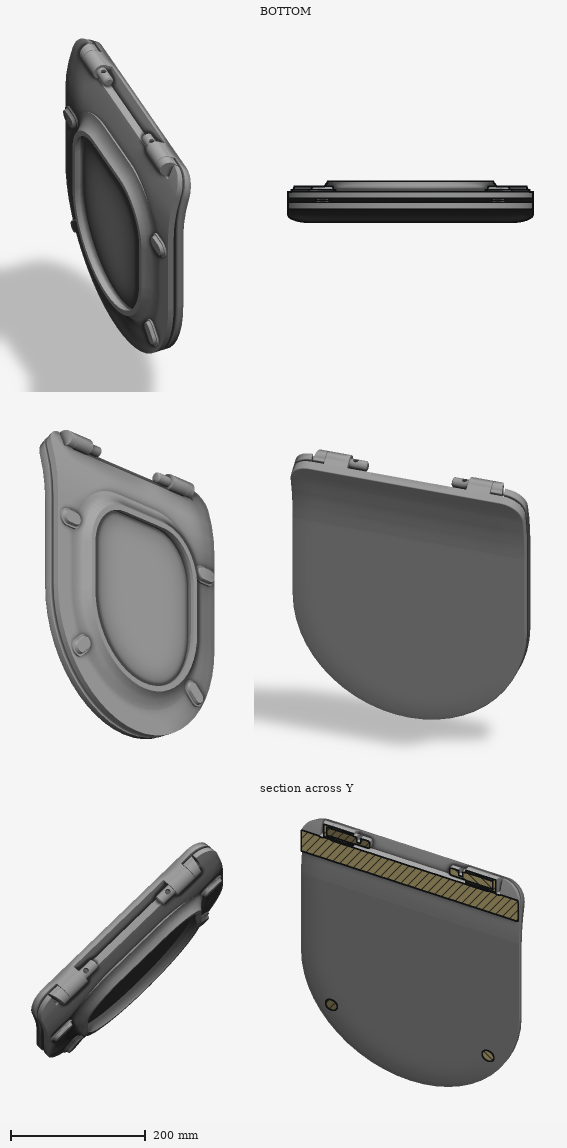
import cadquery as cq
import math

HALF_WIDTH = 182.0
CORNER_RADIUS = 33.0
EDGE_FILLET = 1.5

SEAT_THICKNESS = 9.5
PLATE_GAP = 6.0
LID_THICKNESS = 10.0
LID_BOTTOM = SEAT_THICKNESS + PLATE_GAP
LID_TOP = LID_BOTTOM + LID_THICKNESS
UNDERSIDE_BEND_Z = 148.0
UPPER_BEND_Z = 136.0
SEAT_UNDERSIDE_END = (24.3, 255.2)
SEAT_UPPER_END = (32.3, 249.8)
LID_UNDERSIDE_END = (35.7, 248.5)
LID_UPPER_END = (45.55, 241.4)

RING_HEIGHT = 16.0
RING_FACE_WIDTH = 8.4
RING_FLANK_WIDTH = 24.2
RING_FLANK_SAG = 3.8
RING_ROOT = 5.0
RECESS_HALF_WIDTH = 114.0
RECESS_FRONT_Z = 4.0
RECESS_TOP_Z = 149.3
RECESS_CORNER_RADIUS = 69.0
RECESS_LIP_DEPTH = 5.3
RECESS_UNDERCUT = 4.3

HINGE_AXIS_Y = 17.9
KNUCKLE_RADIUS = 12.7
HINGE_AXIS_Z = 258.0 - KNUCKLE_RADIUS
NOTCH_HALF_WIDTH = 150.6
NOTCH_FLOOR_Z = 230.8
SEAT_KNUCKLE_INNER_X = 130.3
SEAT_KNUCKLE_OUTER_X = 148.3
SEAT_KNUCKLE_FACE_X = 142.0
LID_KNUCKLE_INNER_X = 93.5
KNUCKLE_CLEARANCE = 0.8
LID_KNUCKLE_OUTER_X = SEAT_KNUCKLE_INNER_X - KNUCKLE_CLEARANCE
ARM_SHOULDER_ANGLE = math.radians(71)
PIN_RADIUS = 8.0
PIN_INNER_X = 66.6
PIN_OUTER_X = 138.0
PIN_TIP_LENGTH = 2.4
PIN_TIP_RADIUS = 6.0
PIN_HOLE_X = 85.1
PIN_HOLE_DIAMETER = 8.5
PIN_HOLE_DEPTH = 10.0

BUMPER_STRAIGHT = 16.0
BUMPER_BASE_WIDTH = 27.0
BUMPER_PAD_WIDTH = 21.6
BUMPER_BASE_HEIGHT = 3.0
BUMPER_HEIGHT = 8.0
BUMPER_TAPER = 20.0
REAR_BUMPER_PLACE = (155.5, 109.6)
FRONT_BUMPER_PLACE = (130.8, -85.0)
FRONT_BUMPER_ANGLE = 40.0

BUFFER_LID_RADIUS = 10.3
BUFFER_SEAT_RADIUS = 9.4

SIDES = (-1, 1)


def plane_facing_front(y):
    """Plane at height y whose local axes are X and Z and whose normal is -Y."""
    return cq.Workplane("XZ", origin=(0, y, 0))


def bend_middle(start, end):
    """Middle point of the arc that leaves start along +Z and reaches end."""
    rise = end[0] - start[0]
    run = end[1] - start[1]
    radius = (rise**2 + run**2) / (2 * rise)
    half_angle = math.asin(run / radius) / 2
    return (start[0] + radius * (1 - math.cos(half_angle)), start[1] + radius * math.sin(half_angle))


def plate_section(bottom, top, underside_end, upper_end):
    """Side section of a plate in Y and Z: flat, then bent toward +Y."""
    underside_start = (bottom, UNDERSIDE_BEND_Z)
    upper_start = (top, UPPER_BEND_Z)
    return (
        cq.Workplane("YZ", origin=(-HALF_WIDTH, 0, 0))
        .moveTo(bottom, -HALF_WIDTH)
        .lineTo(*underside_start)
        .threePointArc(bend_middle(underside_start, underside_end), underside_end)
        .lineTo(*upper_end)
        .threePointArc(bend_middle(upper_start, upper_end), upper_start)
        .lineTo(top, -HALF_WIDTH)
        .close()
    )


def make_plate(bottom, top, underside_end, upper_end):
    """Bent plate with a round front, round hinge-side corners and a softened upper edge."""
    plate = plate_section(bottom, top, underside_end, upper_end).extrude(2 * HALF_WIDTH)
    highest_z = underside_end[1]
    outline = (
        plane_facing_front(0)
        .moveTo(-HALF_WIDTH, highest_z)
        .lineTo(-HALF_WIDTH, 0)
        .threePointArc((0, -HALF_WIDTH), (HALF_WIDTH, 0))
        .lineTo(HALF_WIDTH, highest_z)
        .close()
        .extrude(-upper_end[0])
    )
    plate = plate.intersect(outline)
    hinge_end = cq.selectors.BoxSelector(
        (-2 * HALF_WIDTH, underside_end[0] - 1, upper_end[1] - 1),
        (2 * HALF_WIDTH, upper_end[0] + 1, highest_z + 1),
    )
    plate = plate.edges(hinge_end).edges("not |X").fillet(CORNER_RADIUS)
    return plate.faces(cq.selectors.NearestToPointSelector((0, top, 0))).edges().fillet(EDGE_FILLET)


def recess_outline(y):
    """D-shaped outline of the recess, starting at the left end of the round front."""
    r = RECESS_CORNER_RADIUS
    bend = r * math.sqrt(0.5)
    side = RECESS_HALF_WIDTH
    corner_x = side - r
    corner_z = RECESS_TOP_Z - r
    return (
        plane_facing_front(y)
        .moveTo(-side, RECESS_FRONT_Z)
        .threePointArc((0, RECESS_FRONT_Z - side), (side, RECESS_FRONT_Z))
        .lineTo(side, corner_z)
        .threePointArc((corner_x + bend, corner_z + bend), (corner_x, RECESS_TOP_Z))
        .lineTo(-corner_x, RECESS_TOP_Z)
        .threePointArc((-corner_x - bend, corner_z + bend), (-side, corner_z))
        .close()
    )


def make_ring():
    """Ring with a flat face and a hollow outer flank, swept round the recess outline."""
    edge = -RECESS_HALF_WIDTH - RING_FACE_WIDTH
    foot = edge - RING_FLANK_WIDTH
    flank_length = math.hypot(RING_FLANK_WIDTH, RING_HEIGHT)
    hollow_middle = (
        (edge + foot) / 2 + RING_FLANK_SAG * RING_HEIGHT / flank_length,
        -RING_HEIGHT / 2 + RING_FLANK_SAG * RING_FLANK_WIDTH / flank_length,
    )
    section = (
        cq.Workplane("XY", origin=(0, 0, RECESS_FRONT_Z))
        .moveTo(-RECESS_HALF_WIDTH, RING_ROOT)
        .lineTo(-RECESS_HALF_WIDTH, -RING_HEIGHT)
        .lineTo(edge, -RING_HEIGHT)
        .threePointArc(hollow_middle, (foot, 0))
        .lineTo(foot, RING_ROOT)
        .close()
    )
    return section.sweep(recess_outline(0))


def make_recess():
    """Space of the recess: a straight lip, then walls that lean outward up to the underside of the plate."""
    cavity_depth = RING_HEIGHT - RECESS_LIP_DEPTH
    lean = math.degrees(math.atan2(RECESS_UNDERCUT, cavity_depth))
    lip = recess_outline(-RING_HEIGHT).extrude(-RECESS_LIP_DEPTH)
    cavity = recess_outline(RECESS_LIP_DEPTH - RING_HEIGHT).extrude(-cavity_depth, taper=-lean)
    return lip.union(cavity)


def hinge_cylinder(radius, inner_x, outer_x):
    """Cylinder on the hinge axis, on the +X side."""
    return (
        cq.Workplane("YZ", origin=(inner_x, 0, 0))
        .center(HINGE_AXIS_Y, HINGE_AXIS_Z)
        .circle(radius)
        .extrude(outer_x - inner_x)
    )


def on_side(side, body):
    """Body built on the +X side, mirrored when it belongs on the -X side."""
    return body if side > 0 else body.mirror("YZ")


def make_seat_knuckle(seat_plate):
    """Knuckle on the +X side: a piece of the plate with a cylinder, and a slanted outer face."""
    cylinder = hinge_cylinder(KNUCKLE_RADIUS, SEAT_KNUCKLE_INNER_X, SEAT_KNUCKLE_OUTER_X)
    front_y = HINGE_AXIS_Y - KNUCKLE_RADIUS
    back_y = SEAT_UPPER_END[0]
    envelope = (
        cq.Workplane("XY", origin=(0, 0, NOTCH_FLOOR_Z - 1))
        .polyline([
            (SEAT_KNUCKLE_INNER_X, front_y),
            (SEAT_KNUCKLE_FACE_X, front_y),
            (SEAT_KNUCKLE_OUTER_X, back_y),
            (SEAT_KNUCKLE_INNER_X, back_y),
        ])
        .close()
        .extrude(3 * KNUCKLE_RADIUS)
    )
    return seat_plate.intersect(envelope).union(cylinder.intersect(envelope))


def make_lid_knuckle():
    """Knuckle on the +X side: a cylinder with an arm that runs back to the lid underside."""
    cylinder = hinge_cylinder(KNUCKLE_RADIUS, LID_KNUCKLE_INNER_X, LID_KNUCKLE_OUTER_X)
    arm_low_z = HINGE_AXIS_Z - KNUCKLE_RADIUS
    shoulder = (
        HINGE_AXIS_Y + KNUCKLE_RADIUS * math.cos(ARM_SHOULDER_ANGLE),
        HINGE_AXIS_Z + KNUCKLE_RADIUS * math.sin(ARM_SHOULDER_ANGLE),
    )
    arm = (
        cq.Workplane("YZ", origin=(LID_KNUCKLE_INNER_X, 0, 0))
        .polyline([
            (HINGE_AXIS_Y, arm_low_z),
            (HINGE_AXIS_Y, HINGE_AXIS_Z),
            shoulder,
            LID_UNDERSIDE_END,
            (LID_UNDERSIDE_END[0], arm_low_z),
        ])
        .close()
        .extrude(LID_KNUCKLE_OUTER_X - LID_KNUCKLE_INNER_X)
    )
    return cylinder.union(arm)


def make_pin(side):
    """Hinge pin with a chamfered tip and a cross hole from above."""
    pin = hinge_cylinder(PIN_RADIUS, PIN_INNER_X, PIN_OUTER_X)
    pin = pin.faces("<X").chamfer(PIN_RADIUS - PIN_TIP_RADIUS, PIN_TIP_LENGTH)
    hole = (
        cq.Workplane("XY", origin=(PIN_HOLE_X, HINGE_AXIS_Y, HINGE_AXIS_Z + PIN_RADIUS))
        .circle(PIN_HOLE_DIAMETER / 2)
        .extrude(-PIN_HOLE_DEPTH)
    )
    return on_side(side, pin.cut(hole))


def make_bumper(side, place, angle):
    """Stepped pad under the seat, its long axis turned by angle away from X."""
    base = (
        plane_facing_front(0)
        .center(*place)
        .slot2D(BUMPER_STRAIGHT + BUMPER_BASE_WIDTH, BUMPER_BASE_WIDTH, -angle)
        .extrude(BUMPER_BASE_HEIGHT)
    )
    pad = (
        plane_facing_front(-BUMPER_BASE_HEIGHT)
        .center(*place)
        .slot2D(BUMPER_STRAIGHT + BUMPER_PAD_WIDTH, BUMPER_PAD_WIDTH, -angle)
        .extrude(BUMPER_HEIGHT - BUMPER_BASE_HEIGHT, taper=BUMPER_TAPER)
    )
    return on_side(side, base.union(pad))


def make_buffer(side):
    """Stepped round buffer that fills the gap between the seat and the lid."""
    half_gap = PLATE_GAP / 2
    place = (side * FRONT_BUMPER_PLACE[0], FRONT_BUMPER_PLACE[1])
    lid_end = plane_facing_front(LID_BOTTOM).center(*place).circle(BUFFER_LID_RADIUS)
    seat_end = plane_facing_front(SEAT_THICKNESS).center(*place).circle(BUFFER_SEAT_RADIUS)
    return lid_end.extrude(half_gap).union(seat_end.extrude(-half_gap))


def make_seat(pins, bumpers):
    """Seat plate with its hinge notch, knuckles, ring and recess, and seats for the pins and bumpers."""
    plate = make_plate(0, SEAT_THICKNESS, SEAT_UNDERSIDE_END, SEAT_UPPER_END)
    notch = (
        cq.Workplane("XY", origin=(0, 0, NOTCH_FLOOR_Z))
        .rect(2 * NOTCH_HALF_WIDTH, 4 * SEAT_UPPER_END[0])
        .extrude(2 * KNUCKLE_RADIUS)
    )
    seat = plate.cut(notch).union(make_ring())
    for side in SIDES:
        seat = seat.union(on_side(side, make_seat_knuckle(plate)))
    seat = seat.cut(make_recess())
    for insert in pins + bumpers:
        seat = seat.cut(insert)
    return seat


def make_lid(pins):
    """Lid plate with two knuckles bored for the pins."""
    lid = make_plate(LID_BOTTOM, LID_TOP, LID_UNDERSIDE_END, LID_UPPER_END)
    for side in SIDES:
        lid = lid.union(on_side(side, make_lid_knuckle()))
    for pin in pins:
        lid = lid.cut(pin)
    return lid


pins = [make_pin(side) for side in SIDES]
bumpers = [make_bumper(side, REAR_BUMPER_PLACE, 0) for side in SIDES]
bumpers += [make_bumper(side, FRONT_BUMPER_PLACE, FRONT_BUMPER_ANGLE) for side in SIDES]
buffers = [make_buffer(side) for side in SIDES]
seat = make_seat(pins, bumpers)
lid = make_lid(pins)

result = cq.Compound.makeCompound([body.val() for body in [seat, lid, *pins, *bumpers, *buffers]])